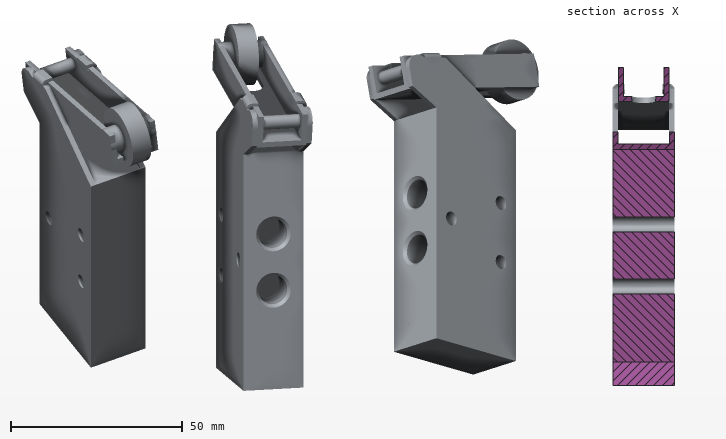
import cadquery as cq
import math

block_length = 32.0
block_width = 18.0
cap_top = 7.0
block_top = 69.0

mount_hole_diameter = 4.2
mount_holes = [(-10.0, 37.9), (10.0, 47.0), (10.0, 28.9)]

port_diameter = 8.7
port_mouth_diameter = 10.4
port_depth = 10.1
port_heights = [46.4, 29.5]

sheet = 1.6
lever_angle = 13.0
lever_length = 53.8
lever_height = 9.9
lever_width = block_width - 2 * sheet
lever_inner_width = lever_width - 2 * sheet
lever_corner_x = -27.7
roller_diameter = 18.0
roller_width = 6.0
hub_diameter = 8.0
overall_height = 100.8
axle_drop = 3.7
pin_diameter = 4.0
pin_distance = axle_drop
ear_radius = 3.6
ear_bottom_drop = 9.4
roller_distance = 50.0
floor_slot_width = 8.0
floor_slot_start = 34.6
notch_start = 7.2
notch_end = 14.6
notch_depth = 1.0
tab_gap = 0.7
tab_bend_radius = 1.5
tab_overhang = 0.2
ear_shoulder = 5.3
ear_peak_distance = 15.7
ear_peak_drop = 1.2

half_length = block_length / 2
half_width = block_width / 2
plate_top = block_top + sheet
tilt = math.radians(lever_angle)

lever_corner_z = (overall_height - roller_diameter / 2
                  - roller_distance * math.sin(tilt) + axle_drop * math.cos(tilt))


def lever_point(along, up):
    """Return (x, z) of a point given along and above the lever's top edge."""
    return (
        lever_corner_x + along * math.cos(tilt) - up * math.sin(tilt),
        lever_corner_z + along * math.sin(tilt) + up * math.cos(tilt),
    )


def lever_box(start, end, bottom, top, y_min, y_max):
    """Box aligned with the tilted lever."""
    corners = [(start, bottom), (end, bottom), (end, top), (start, top)]
    return (
        cq.Workplane("XZ", origin=(0, y_max, 0))
        .polyline([lever_point(*corner) for corner in corners])
        .close()
        .extrude(y_max - y_min)
    )


def cross_cylinder(along, diameter, width):
    """Cylinder along Y on one of the lever's axle positions."""
    return (
        cq.Workplane("XZ", origin=(0, width / 2, 0))
        .center(*lever_point(along, -axle_drop))
        .circle(diameter / 2)
        .extrude(width)
    )


def make_cap():
    return cq.Workplane("XY").rect(block_length, block_width).extrude(cap_top)


def make_port(height):
    """Port bore with a 45 degree countersunk mouth."""
    face = cq.Workplane("YZ", origin=(-half_length, 0, height))
    mouth_depth = (port_mouth_diameter - port_diameter) / 2
    bore = face.circle(port_diameter / 2).extrude(port_depth)
    mouth = face.circle(port_mouth_diameter / 2).extrude(mouth_depth, taper=45)
    return bore.union(mouth)


def make_block():
    block = (
        cq.Workplane("XY", origin=(0, 0, cap_top))
        .rect(block_length, block_width)
        .extrude(block_top - cap_top)
    )
    holes = (
        cq.Workplane("XZ")
        .pushPoints(mount_holes)
        .circle(mount_hole_diameter / 2)
        .extrude(half_width, both=True)
    )
    block = block.cut(holes)
    for height in port_heights:
        block = block.cut(make_port(height))
    return block


def make_lever():
    """U-shaped channel with an open slot for the roller and notches for the tabs."""
    half_lever = lever_width / 2
    half_inner = lever_inner_width / 2
    floor_top = sheet - lever_height
    lever = lever_box(0, lever_length, -lever_height, 0, -half_lever, half_lever)
    lever = lever.cut(lever_box(0, lever_length, floor_top, 0, -half_inner, half_inner))
    lever = lever.cut(lever_box(notch_start, notch_end, -notch_depth, 0, -half_lever, half_lever))

    slot_radius = floor_slot_width / 2
    slot_centre = floor_slot_start + slot_radius
    slot = lever_box(slot_centre, lever_length, -lever_height, floor_top, -slot_radius, slot_radius)
    corner_x, corner_z = lever_point(slot_centre, -lever_height)
    floor_plane = cq.Plane(
        origin=(corner_x, 0, corner_z),
        xDir=(math.cos(tilt), 0, math.sin(tilt)),
        normal=(-math.sin(tilt), 0, math.cos(tilt)),
    )
    slot = slot.union(cq.Workplane(floor_plane).circle(slot_radius).extrude(sheet))
    return lever.cut(slot)


def make_ear(y_min):
    """Side plate of the bracket, rounded around the pin."""
    arc_middle = ear_radius * math.sqrt(0.5)
    return (
        cq.Workplane("XZ", origin=(0, y_min + sheet, 0))
        .moveTo(-half_length, block_top)
        .lineTo(half_length, block_top)
        .lineTo(half_length, plate_top)
        .lineTo(*lever_point(ear_peak_distance, -ear_peak_drop))
        .lineTo(*lever_point(notch_end, -notch_depth))
        .lineTo(*lever_point(notch_start, -notch_depth))
        .lineTo(*lever_point(ear_shoulder, ear_radius - axle_drop))
        .lineTo(*lever_point(pin_distance, ear_radius - axle_drop))
        .threePointArc(
            lever_point(pin_distance - arc_middle, arc_middle - axle_drop),
            lever_point(pin_distance - ear_radius, -axle_drop),
        )
        .lineTo(*lever_point(pin_distance - ear_radius, -ear_bottom_drop))
        .lineTo(-half_length, plate_top)
        .close()
        .extrude(sheet)
    )


def make_tabs():
    """Tabs bent inward from the ears over the notched lever walls."""
    start = notch_start + tab_gap
    end = notch_end - tab_gap
    tab_top = sheet - notch_depth
    span = lever_box(start, end, -notch_depth, tab_top, -half_width, half_width)
    rounded = span.faces(">Z").edges("<Y or >Y").fillet(tab_bend_radius)
    inner_reach = lever_inner_width / 2 - tab_overhang
    return rounded.cut(lever_box(start, end, -notch_depth, tab_top, -inner_reach, inner_reach))


def make_operator():
    operator = (
        cq.Workplane("XY", origin=(0, 0, block_top))
        .rect(block_length, block_width)
        .extrude(sheet)
    )
    for ear_y in (-half_width, half_width - sheet):
        operator = operator.union(make_ear(ear_y))
    operator = operator.union(make_lever()).union(make_tabs())
    operator = operator.union(cross_cylinder(pin_distance, pin_diameter, lever_width))
    operator = operator.union(cross_cylinder(roller_distance, hub_diameter, lever_width))
    return operator.union(cross_cylinder(roller_distance, roller_diameter, roller_width))


cap = make_cap()
block = make_block()
operator = make_operator()

result = cq.Compound.makeCompound([cap.val(), block.val(), operator.val()])